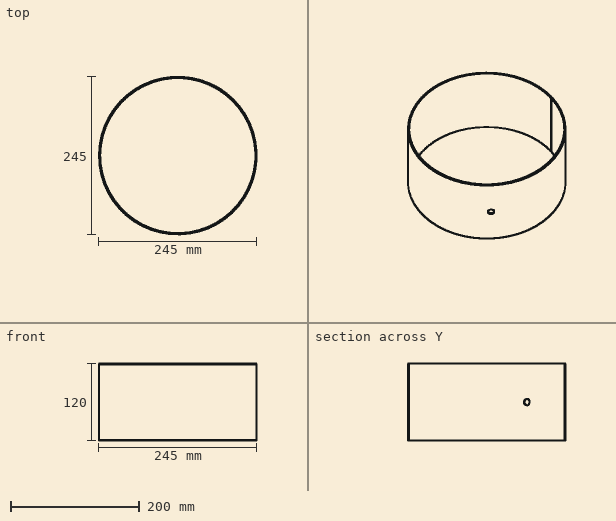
import cadquery as cq
import math

outer_diameter = 245.0
height = 120.0
wall = 2.5
outer_bevel_height = 1.8
outer_bevel_angle = 20.0
inner_bevel = 0.8
gap_angle = 1.0
hole_diameter = 10.0
hole_angle = 59.0

outer_radius = outer_diameter / 2
inner_radius = outer_radius - wall
outer_bevel_depth = outer_bevel_height * math.tan(math.radians(outer_bevel_angle))
rim_outer_radius = outer_radius - outer_bevel_depth
rim_inner_radius = inner_radius + inner_bevel
half_height = height / 2
outer_shoulder = half_height - outer_bevel_height
inner_shoulder = half_height - inner_bevel


def make_band():
    """Open band, bevelled at its rims, swept from -X through -Y and +X to leave a narrow gap next to -X."""
    sweep_angle = 360 - gap_angle
    profile = [
        (rim_inner_radius, -half_height),
        (rim_outer_radius, -half_height),
        (outer_radius, -outer_shoulder),
        (outer_radius, outer_shoulder),
        (rim_outer_radius, half_height),
        (rim_inner_radius, half_height),
        (inner_radius, inner_shoulder),
        (inner_radius, -inner_shoulder),
    ]
    band = cq.Workplane("XZ").polyline(profile).close().revolve(sweep_angle, (0, 0), (0, 1))
    return band.rotate((0, 0, 0), (0, 0, 1), 180)


def make_hole():
    """Radial drill through one side of the wall at mid height."""
    angle = math.radians(hole_angle)
    direction = cq.Vector(math.cos(angle), math.sin(angle), 0)
    drill_plane = cq.Plane(origin=(0, 0, 0), normal=direction)
    return cq.Workplane(drill_plane).circle(hole_diameter / 2).extrude(outer_diameter)


result = make_band().cut(make_hole())